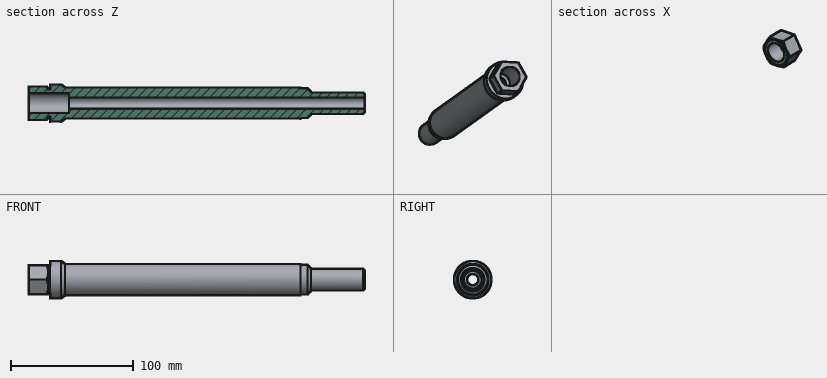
import cadquery as cq
import math

overall_length = 275.2
hex_length = 16.0
hex_chamfer_length = 1.0
collar_start = 17.5
collar_end = 26.7
body_start = 30.0
body_end = 222.5
shoulder_end = 228.2
shoulder_chamfer = 2.8
tip_chamfer = 1.7

hex_across_flats = 24.0
hex_chamfer_diameter = 24.2
neck_diameter = 22.5
collar_diameter = 30.8
body_diameter = 26.0
shoulder_diameter = 24.5
tail_diameter = 18.0

bore_diameter = 9.0
counterbore_diameter = 16.0
counterbore_depth = 33.0


def cylinder(diameter, start, end):
    """Cylinder on the X axis between two positions."""
    return cq.Workplane("YZ", origin=(start, 0, 0)).circle(diameter / 2).extrude(end - start)


def revolve_about_x(profile):
    """Full turn of a closed profile about the X axis."""
    return profile.revolve(360, (0, 0, 0), (1, 0, 0))


def make_shaft():
    """Neck, collar, body, shoulder and tail."""
    body_radius = body_diameter / 2
    shoulder_radius = shoulder_diameter / 2
    tail_radius = tail_diameter / 2
    tail_start = shoulder_end + shoulder_chamfer

    profile = (
        cq.Workplane("XY")
        .moveTo(hex_length, 0)
        .lineTo(hex_length, neck_diameter / 2)
        .lineTo(collar_start, neck_diameter / 2)
        .lineTo(collar_start, collar_diameter / 2)
        .lineTo(collar_end, collar_diameter / 2)
        .lineTo(body_start, body_radius)
        .lineTo(body_end, body_radius)
        .lineTo(body_end, shoulder_radius)
        .lineTo(shoulder_end, shoulder_radius)
        .lineTo(tail_start, shoulder_radius - shoulder_chamfer)
        .lineTo(tail_start, tail_radius)
        .lineTo(overall_length - tip_chamfer, tail_radius)
        .lineTo(overall_length, tail_radius - tip_chamfer)
        .lineTo(overall_length, 0)
        .close()
    )
    return revolve_about_x(profile)


def make_hex_head():
    """Hexagon with flats at top and bottom, its inner corners cut by a cone."""
    corner_diameter = hex_across_flats / math.cos(math.pi / 6)
    hexagon = cq.Workplane("YZ").polygon(6, corner_diameter).extrude(hex_length)
    envelope_profile = cq.Workplane("XY").polyline([
        (0, 0),
        (0, corner_diameter / 2),
        (hex_length - hex_chamfer_length, corner_diameter / 2),
        (hex_length, hex_chamfer_diameter / 2),
        (hex_length, 0),
    ]).close()
    return hexagon.intersect(revolve_about_x(envelope_profile))


bore = cylinder(bore_diameter, 0, overall_length)
counterbore = cylinder(counterbore_diameter, 0, counterbore_depth)

result = make_hex_head().union(make_shaft()).cut(bore).cut(counterbore)